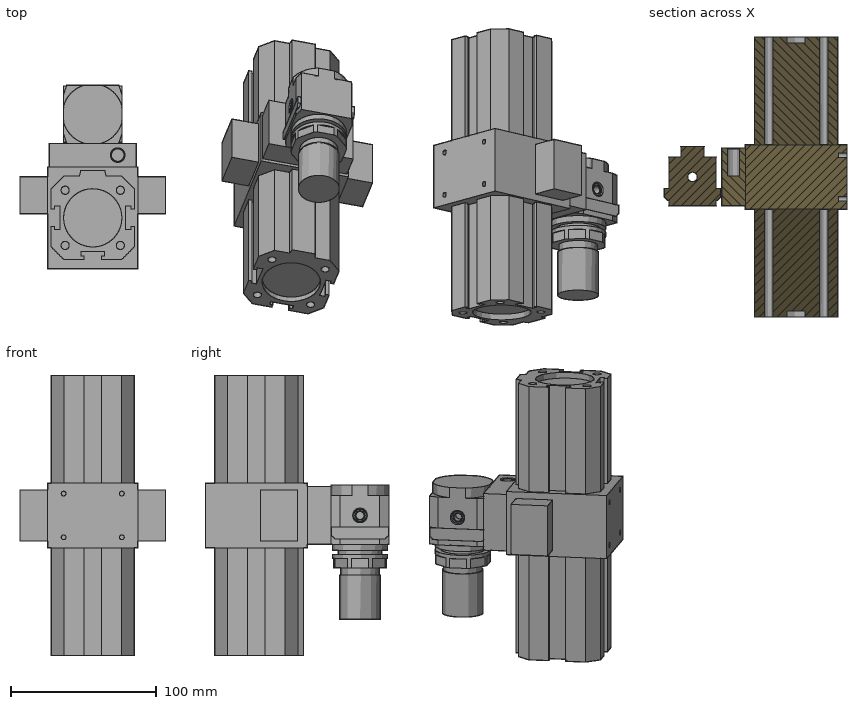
import cadquery as cq
import math

total_height = 192.0

housing_width = 62.0
housing_depth = 69.9
housing_height = 44.4
housing_back = housing_depth / 2
side_box_span = 100.0
side_box_front = 2.7
side_box_back = 28.2
side_box_height = 35.1
mount_hole_diameter = 3.3
mount_hole_depth = 5.8
mount_hole_spacing_x = 40.0
mount_hole_spacing_z = 30.0

barrel_half = 28.6
barrel_chamfer = 8.8
barrel_length = (total_height - housing_height) / 2
bore_diameter = 40.0
bore_depth = 4.0
tie_rod_diameter = 5.5
tie_rod_spacing = 37.8
slot_mouth_width = 12.0
slot_inner_width = 16.1
slot_lip = 2.5
side_slot_depth = 6.1
front_slot_depth = 5.4
tongue_top = 32.5
tongue_tip_width = 16.5
tongue_root_width = 18.2

plate_width = 60.0
plate_depth = 16.1
plate_height = 39.7
plate_back = housing_back + plate_depth
plate_port_x = 17.0
plate_port_diameter = 8.6
plate_port_rim = 10.0
plate_port_depth = 19.2

head_side = 40.0
head_half = head_side / 2
regulator_y = plate_back + head_half
head_bottom = -19.8
head_shoulder = 13.8
head_top = 21.0
head_flat_width = 27.0
head_corner_cut = 2.1
cap_diameter = 41.5
band_side = 40.3
band_length = 38.8
band_bottom = -16.1
band_top = -7.9
band_chamfer = 2.3
side_port_z = 0.0
side_port_rim = 10.0
side_port_diameter = 8.5
side_bore_rim = 6.5
side_bore_diameter = 5.5
side_bore_depth = 7.7
collar_diameter = 38.0
collar_bottom = -24.0
neck_diameter = 30.0
neck_bottom = -26.7
nut_rim_bottom = -29.4
nut_across_flats = 36.0
nut_sides = 8
nut_bottom = -36.0
knob_neck_diameter = 26.5
knob_neck_bottom = -40.9
knob_diameter = 28.0
knob_bottom = -71.2


def block(x_limits, y_limits, z_limits):
    """Box between the given limits on each axis."""
    limits = (x_limits, y_limits, z_limits)
    sizes = [high - low for low, high in limits]
    corner = tuple(low for low, high in limits)
    return cq.Workplane("XY").box(*sizes, centered=False).translate(corner)


def centred(size):
    """Limits of a length centred on zero."""
    return (-size / 2, size / 2)


def cone_rim(rim_diameter, hole_diameter, base, direction):
    """45-degree countersink from rim_diameter down to hole_diameter."""
    depth = (rim_diameter - hole_diameter) / 2
    return cq.Solid.makeCone(
        rim_diameter / 2, hole_diameter / 2, depth, cq.Vector(*base), cq.Vector(*direction)
    )


def make_housing():
    body = block(centred(housing_width), centred(housing_depth), centred(housing_height))
    side_boxes = block(
        centred(side_box_span), (side_box_front, side_box_back), centred(side_box_height)
    )
    mount_holes = (
        cq.Workplane("XZ", origin=(0, -housing_depth / 2, 0))
        .rarray(mount_hole_spacing_x, mount_hole_spacing_z, 2, 2)
        .circle(mount_hole_diameter / 2)
        .extrude(-mount_hole_depth)
    )
    return body.union(side_boxes).cut(mount_holes)


def t_slot(depth, angle):
    """T-slot along a barrel face; the angle turns it from the -Y face about Z."""
    mouth = block(
        centred(slot_mouth_width), (-barrel_half, slot_lip - barrel_half), (0, barrel_length)
    )
    inner = block(
        centred(slot_inner_width), (slot_lip - barrel_half, depth - barrel_half), (0, barrel_length)
    )
    return mouth.union(inner).rotate((0, 0, 0), (0, 0, 1), angle)


def make_barrel():
    """Barrel standing on Z = 0 with its open end up."""
    barrel = (
        cq.Workplane("XY")
        .rect(2 * barrel_half, 2 * barrel_half)
        .extrude(barrel_length)
        .edges("|Z")
        .chamfer(barrel_chamfer)
    )
    tongue = (
        cq.Workplane("XY")
        .polyline([
            (-tongue_root_width / 2, barrel_half),
            (tongue_root_width / 2, barrel_half),
            (tongue_tip_width / 2, tongue_top),
            (-tongue_tip_width / 2, tongue_top),
        ])
        .close()
        .extrude(barrel_length)
    )
    barrel = barrel.union(tongue)
    for depth, angle in ((front_slot_depth, 0), (side_slot_depth, 90), (side_slot_depth, -90)):
        barrel = barrel.cut(t_slot(depth, angle))
    tie_rod_holes = (
        cq.Workplane("XY")
        .rarray(tie_rod_spacing, tie_rod_spacing, 2, 2)
        .circle(tie_rod_diameter / 2)
        .extrude(barrel_length)
    )
    bore = (
        cq.Workplane("XY", origin=(0, 0, barrel_length - bore_depth))
        .circle(bore_diameter / 2)
        .extrude(bore_depth)
    )
    return barrel.cut(tie_rod_holes).cut(bore)


def make_plate():
    plate = block(centred(plate_width), (housing_back, plate_back), centred(plate_height))
    port_y = housing_back + plate_depth / 2
    top = plate_height / 2
    port = (
        cq.Workplane("XY", origin=(plate_port_x, port_y, top))
        .circle(plate_port_diameter / 2)
        .extrude(-plate_port_depth)
    )
    rim = cone_rim(plate_port_rim, plate_port_diameter, (plate_port_x, port_y, top), (0, 0, -1))
    return plate.cut(port).cut(cq.Workplane(rim))


def disc(diameter, bottom, top):
    return cq.Workplane("XY", origin=(0, 0, bottom)).circle(diameter / 2).extrude(top - bottom)


def make_head():
    """Square head with cut corners; the round cap on top is trimmed by the square."""
    flat = head_flat_width / 2
    end = head_half - head_corner_cut
    outline = [
        (head_half, -flat), (head_half, flat), (end, head_half), (-end, head_half),
        (-head_half, flat), (-head_half, -flat), (-end, -head_half), (end, -head_half),
    ]
    head = (
        cq.Workplane("XY", origin=(0, 0, head_bottom))
        .polyline(outline)
        .close()
        .extrude(head_top - head_bottom)
    )
    outside_cap = block(centred(2 * head_side), centred(2 * head_side), (head_shoulder, head_top))
    return head.cut(outside_cap.cut(disc(cap_diameter, head_shoulder, head_top)))


def make_band():
    """Band across the head, with its lower ends chamfered."""
    return (
        block(centred(band_side), centred(band_length), (band_bottom, band_top))
        .edges("|X and <Z")
        .chamfer(band_chamfer)
    )


def side_port(side):
    """Countersunk stepped port in the +X (side = 1) or -X (side = -1) face."""
    rim_depth = (side_port_rim - side_port_diameter) / 2
    floor_x = side * (head_half - rim_depth)
    inward = (-side, 0, 0)
    rim = cone_rim(side_port_rim, side_port_diameter, (side * head_half, 0, side_port_z), inward)
    floor = (floor_x, 0, side_port_z)
    bore_rim = cone_rim(side_bore_rim, side_bore_diameter, floor, inward)
    bore = cq.Solid.makeCylinder(
        side_bore_diameter / 2, side_bore_depth, cq.Vector(*floor), cq.Vector(*inward)
    )
    return cq.Workplane(rim).union(cq.Workplane(bore_rim)).union(cq.Workplane(bore))


def make_nut():
    """Round nut with eight flats."""
    corner_diameter = nut_across_flats / math.cos(math.pi / nut_sides)
    octagon = (
        cq.Workplane("XY", origin=(0, 0, nut_bottom))
        .polygon(nut_sides, corner_diameter)
        .extrude(nut_rim_bottom - nut_bottom)
        .rotate((0, 0, 0), (0, 0, 1), 180 / nut_sides)
    )
    return disc(collar_diameter, nut_bottom, nut_rim_bottom).intersect(octagon)


def make_regulator():
    regulator = make_head().union(make_band())
    for side in (-1, 1):
        regulator = regulator.cut(side_port(side))
    regulator = (
        regulator
        .union(disc(collar_diameter, collar_bottom, head_bottom))
        .union(disc(neck_diameter, neck_bottom, collar_bottom))
        .union(disc(collar_diameter, nut_rim_bottom, neck_bottom))
        .union(make_nut())
        .union(disc(knob_neck_diameter, knob_neck_bottom, nut_bottom))
        .union(disc(knob_diameter, knob_bottom, knob_neck_bottom))
    )
    return regulator.translate((0, regulator_y, 0))


housing = make_housing()
plate = make_plate()
regulator = make_regulator()

upper_barrel = make_barrel().translate((0, 0, housing_height / 2))
barrels = [upper_barrel, upper_barrel.mirror("XY")]

result = cq.Compound.makeCompound([
    housing.val(),
    *[barrel.val() for barrel in barrels],
    plate.val(),
    regulator.val(),
])